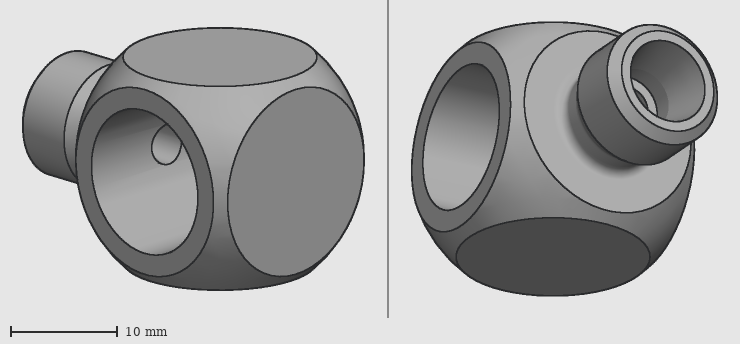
import cadquery as cq
import math

cube_side = 20.0
face_circle_diameter = 18.15
cross_bore_diameter = 14.0

overall_length = 31.0
stem_diameter = 12.0
neck_diameter = 9.7
end_chamfer = 1.0
thread_length = 6.42
shoulder_angle = 30.0
neck_fillet = 1.0

mouth_diameter = 8.1
tube_diameter = 6.0
passage_diameter = 4.0
socket_depth = 7.0
cone_half_angle = 12.0

half_side = cube_side / 2
block_face_x = -half_side
stem_end_x = half_side - overall_length
shoulder_x = stem_end_x + thread_length
stem_radius = stem_diameter / 2
neck_radius = neck_diameter / 2


def make_block():
    sphere_radius = math.hypot(half_side, face_circle_diameter / 2)
    cube = cq.Workplane("XY").box(cube_side, cube_side, cube_side)
    return cube.intersect(cq.Workplane("XY").sphere(sphere_radius))


def revolve_about_x(profile):
    return profile.close().revolve(360, (0, 0, 0), (1, 0, 0))


def make_stem():
    slope = math.radians(shoulder_angle)
    cone_end_radius = neck_radius + neck_fillet * (1 - math.cos(slope))
    cone_end_x = shoulder_x + (stem_radius - cone_end_radius) / math.tan(slope)
    neck_x = cone_end_x + neck_fillet * math.sin(slope)
    shoulder_fillet_middle = (
        neck_x - neck_fillet * math.sin(slope / 2),
        neck_radius + neck_fillet * (1 - math.cos(slope / 2)),
    )
    fillet_start_x = block_face_x - neck_fillet
    diagonal = neck_fillet * math.sqrt(0.5)
    fillet_middle = (fillet_start_x + diagonal, neck_radius + neck_fillet - diagonal)
    profile = (
        cq.Workplane("XY")
        .moveTo(stem_end_x, 0)
        .lineTo(stem_end_x, stem_radius - end_chamfer)
        .lineTo(stem_end_x + end_chamfer, stem_radius)
        .lineTo(shoulder_x, stem_radius)
        .lineTo(cone_end_x, cone_end_radius)
        .threePointArc(shoulder_fillet_middle, (neck_x, neck_radius))
        .lineTo(fillet_start_x, neck_radius)
        .threePointArc(fillet_middle, (block_face_x, neck_radius + neck_fillet))
        .lineTo(0, neck_radius + neck_fillet)
        .lineTo(0, 0)
    )
    return revolve_about_x(profile)


def make_socket():
    mouth_radius = mouth_diameter / 2
    tube_radius = tube_diameter / 2
    passage_radius = passage_diameter / 2
    cone_length = (mouth_radius - tube_radius) / math.tan(math.radians(cone_half_angle))
    seat_x = stem_end_x + socket_depth
    profile = (
        cq.Workplane("XY")
        .moveTo(stem_end_x, 0)
        .lineTo(stem_end_x, mouth_radius)
        .lineTo(stem_end_x + cone_length, tube_radius)
        .lineTo(seat_x, tube_radius)
        .lineTo(seat_x, passage_radius)
        .lineTo(0, passage_radius)
        .lineTo(0, 0)
    )
    return revolve_about_x(profile)


def make_cross_bore():
    bore = cq.Workplane("XZ").circle(cross_bore_diameter / 2)
    return bore.extrude(half_side, both=True)


body = make_block().union(make_stem())
result = body.cut(make_socket()).cut(make_cross_bore())